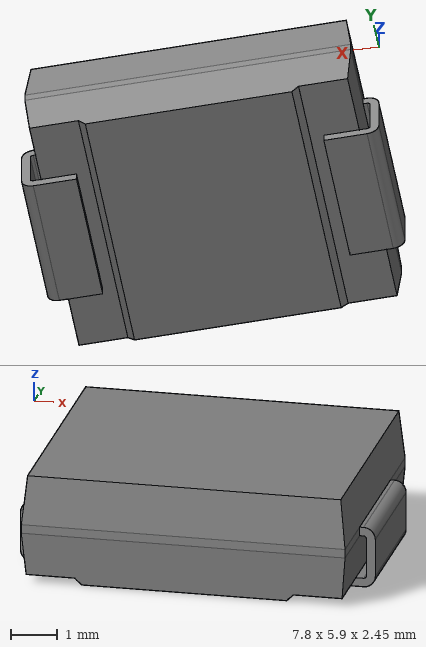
import cadquery as cq
import math

overall_length = 7.8
body_length = 7.11
body_width = 5.9
overall_height = 2.45

lead_thickness = 0.195
band_top = 1.36
band_bottom = band_top - lead_thickness

end_draft = 6.0
side_draft = 5.0
lower_draft = 5.0

body_bottom = 0.05
pad_length = 4.51
pad_slope_run = 0.15

lead_width = 3.03
foot_length = 1.2
bend_inner_radius = 0.06
bend_outer_radius = bend_inner_radius + lead_thickness


def tapered_block(base_z, end_z, end_angle, side_angle):
    """Block narrowing from the full body outline at base_z to a smaller one at end_z."""
    height = end_z - base_z
    end_inset = abs(height) * math.tan(math.radians(end_angle))
    side_inset = abs(height) * math.tan(math.radians(side_angle))
    return (
        cq.Workplane("XY", origin=(0, 0, base_z))
        .rect(body_length, body_width)
        .workplane(offset=height)
        .rect(body_length - 2 * end_inset, body_width - 2 * side_inset)
        .loft(ruled=True)
    )


def make_underside_cut():
    """Clearance for the foot at the -X end, leaving the sloping end of the pad."""
    pad_end = -pad_length / 2
    return (
        cq.Workplane("XZ")
        .moveTo(-overall_length / 2, lead_thickness)
        .lineTo(pad_end - pad_slope_run, lead_thickness)
        .lineTo(pad_end, body_bottom)
        .lineTo(pad_end, 0)
        .lineTo(-overall_length / 2, 0)
        .close()
        .extrude(body_width / 2, both=True)
    )


def make_body():
    band = (
        cq.Workplane("XY", origin=(0, 0, band_bottom))
        .rect(body_length, body_width)
        .extrude(lead_thickness)
    )
    upper = tapered_block(band_top, overall_height, end_draft, side_draft)
    lower = tapered_block(band_bottom, body_bottom, lower_draft, lower_draft)
    cut = make_underside_cut()
    lower = lower.cut(cut).cut(cut.mirror("YZ"))
    return band.union(upper).union(lower)


def make_lead():
    """Strip leaving the -X end of the body and folding down and under it."""
    outer_x = -overall_length / 2
    foot_end = outer_x + foot_length
    inner_x = outer_x + lead_thickness
    outer = (
        cq.Workplane("XZ")
        .moveTo((outer_x + foot_end) / 2, band_top / 2)
        .rect(foot_length, band_top)
        .extrude(lead_width / 2, both=True)
        .edges("|Y and <X")
        .fillet(bend_outer_radius)
    )
    inner = (
        cq.Workplane("XZ")
        .moveTo((inner_x + foot_end) / 2, band_top / 2)
        .rect(foot_end - inner_x, band_bottom - lead_thickness)
        .extrude(lead_width / 2, both=True)
        .edges("|Y and <X")
        .fillet(bend_inner_radius)
    )
    return outer.cut(inner)


lead = make_lead()
result = make_body().union(lead).union(lead.mirror("YZ"))